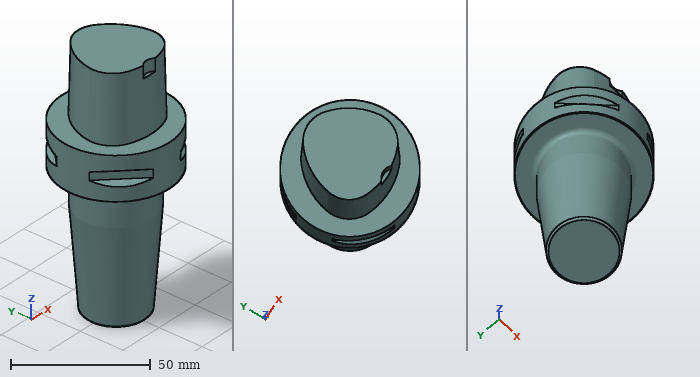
import cadquery as cq
import math

total_height = 110.0
flange_top = 80.0
flange_bottom = 60.2
taper_top = 44.3

flange_diameter = 50.0
neck_diameter = 33.9
nose_diameter = 27.2
neck_fillet = 2.0
flange_chamfer = 0.3
nose_chamfer = 0.9

lobe_reach = 18.6
flank_reach = 16.4
lobe_radius = 12.0
shank_taper = math.degrees(math.atan(1 / 40))

notch_width = 7.0
notch_back = 14.1
notch_height = 5.4

groove_count = 4
groove_first_angle = 45
groove_floor_distance = 22.2
groove_floor_height = 3.5
groove_wall_angle = 30


def polar(distance, angle):
    """Point at a distance from the axis, with the angle in degrees."""
    return (
        distance * math.cos(math.radians(angle)),
        distance * math.sin(math.radians(angle)),
    )


def make_body():
    flange_radius = flange_diameter / 2
    neck_radius = neck_diameter / 2
    nose_radius = nose_diameter / 2
    return (
        cq.Workplane("XZ")
        .lineTo(nose_radius - nose_chamfer, 0)
        .lineTo(nose_radius, nose_chamfer)
        .lineTo(neck_radius, taper_top)
        .lineTo(neck_radius, flange_bottom - neck_fillet)
        .radiusArc((neck_radius + neck_fillet, flange_bottom), neck_fillet)
        .lineTo(flange_radius - flange_chamfer, flange_bottom)
        .lineTo(flange_radius, flange_bottom + flange_chamfer)
        .lineTo(flange_radius, flange_top)
        .lineTo(0, flange_top)
        .close()
        .revolve(360, (0, 0), (0, 1))
    )


def make_shank():
    """Three lobe arcs joined by three tangent flank arcs, one lobe toward +Y."""
    lobe_offset = lobe_reach - lobe_radius
    inset = flank_reach - lobe_radius
    flank_offset = (lobe_offset**2 - inset**2) / (2 * inset - lobe_offset)
    flank_radius = flank_reach + flank_offset
    half_sine = lobe_offset * math.sin(math.radians(60)) / (flank_radius - lobe_radius)
    flank_half_angle = math.degrees(math.asin(half_sine))

    def flank_point(flank_angle, turn):
        center_x, center_y = polar(-flank_offset, flank_angle)
        rim_x, rim_y = polar(flank_radius, flank_angle + turn)
        return (center_x + rim_x, center_y + rim_y)

    outline = cq.Workplane("XY", origin=(0, 0, flange_top))
    outline = outline.moveTo(*flank_point(30, flank_half_angle))
    for lobe_angle in (90, 210, 330):
        next_flank = lobe_angle + 60
        outline = outline.threePointArc(
            polar(lobe_reach, lobe_angle),
            flank_point(next_flank, -flank_half_angle),
        )
        outline = outline.threePointArc(
            polar(flank_reach, next_flank),
            flank_point(next_flank, flank_half_angle),
        )
    return outline.close().extrude(total_height - flange_top, taper=shank_taper)


def make_notch():
    shank_shrink = (total_height - flange_top) * math.tan(math.radians(shank_taper))
    depth = flank_reach - shank_shrink - notch_back
    radius = ((notch_width / 2) ** 2 + depth**2) / (2 * depth)
    return (
        cq.Workplane("XY", origin=(0, -notch_back - radius, total_height))
        .circle(radius)
        .extrude(-notch_height)
    )


def make_groove(angle):
    """Straight groove across the flange rim, with walls flaring outward."""
    middle = (flange_top + flange_bottom) / 2
    outer_distance = flange_diameter / 2 + 1.1
    floor_half = groove_floor_height / 2
    flare = (outer_distance - groove_floor_distance) * math.tan(math.radians(groove_wall_angle))
    return (
        cq.Workplane("XZ")
        .moveTo(groove_floor_distance, middle - floor_half)
        .lineTo(outer_distance, middle - floor_half - flare)
        .lineTo(outer_distance, middle + floor_half + flare)
        .lineTo(groove_floor_distance, middle + floor_half)
        .close()
        .extrude(flange_diameter / 2, both=True)
        .rotate((0, 0, 0), (0, 0, 1), angle)
    )


result = make_body().union(make_shank()).cut(make_notch())
for index in range(groove_count):
    result = result.cut(make_groove(groove_first_angle + index * 360 / groove_count))